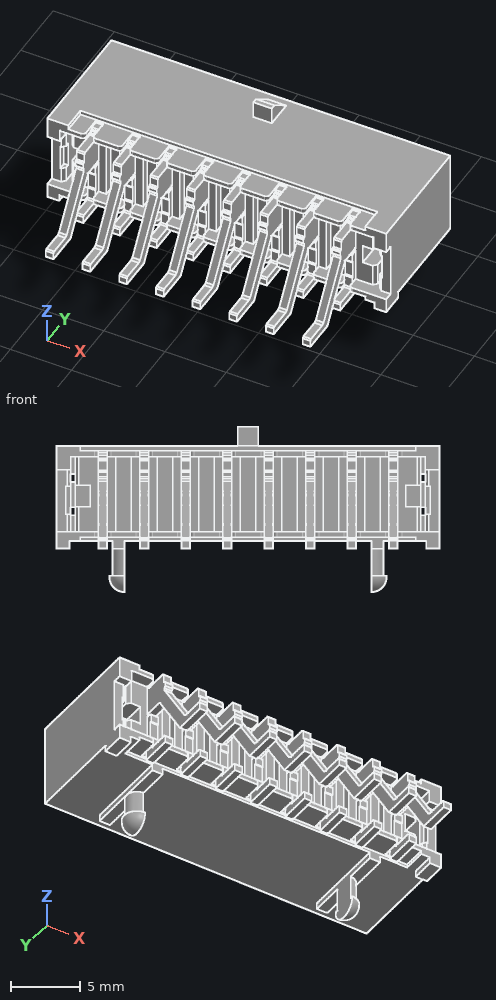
import cadquery as cq


HOUSING_LENGTH = 27.7
HOUSING_DEPTH = 9.92
HOUSING_BOTTOM = 0.53
HOUSING_TOP = 7.42
HALF_LENGTH = HOUSING_LENGTH / 2

POCKET_HALF_LENGTH = 12.83
POCKET_BOTTOM = 1.22
POCKET_TOP = 6.65
POCKET_DEPTH = 1.0
SHELF_HALF_LENGTH = 12.13
SHELF_DEPTH = 1.88
SHELF_THICKNESS = 0.42
SHELF_CORNER_RADIUS = 0.28

CONTACT_COUNT = 8
CONTACT_SPAN = 21.0
PITCH = CONTACT_SPAN / (CONTACT_COUNT - 1)
CONTACT_WIDTH = 0.65
CONTACT_ROOT = 2.22
LEAD_THICKNESS = 0.66
TIP_BEVEL = 0.1
UPPER_UNDERSIDE = 4.13
SHOULDER_TOP = 6.92
HEAD_TOP = 6.45
HEAD_FACE = -1.2
NOSE_FACE = -1.38
UPPER_TAIL_END = -5.98
LOWER_UNDERSIDE = 3.13
LOWER_TOP = 3.9
UPRIGHT_FACE = 0.5
RECESS_FACE = 0.58
LOWER_TAIL_END = -1.38
FIRST_CONTACT = -CONTACT_SPAN / 2
CONTACT_POSITIONS = [FIRST_CONTACT + PITCH * i for i in range(CONTACT_COUNT)]
GROOVE_WIDTH = 1.1
GROOVE_FLOOR = 1.7
SHELF_SLOT_END = 1.75

SIDE_NOTCH_DEPTH = 0.7
SIDE_NOTCH_TOP = 5.68
SLOT_INNER = 12.5
SLOT_FLOOR = 3.88
LEAD_IN_OUTER = 13.07
LEAD_IN_INNER = 12.22
LEAD_IN_DEPTH = 0.28
RELIEF_OUTER = 13.15
RELIEF_BOTTOM = 2.47
RELIEF_TOP = 4.5
BARB_INNER = 11.4
BARB_BOTTOM = 3.02
BARB_TOP = 4.57
BARB_FLOOR = 2.77
WINDOW_HEIGHT = 0.55
WINDOW_BOTTOMS = (2.4, 4.82)

FOOT_LENGTH = 0.97
PEG_FLAT = 8.92
PEG_RADIUS = 0.9
PEG_CENTER_Y = 5.32
PEG_HEAD_RADIUS = 1.1
PEG_BOTTOM = -3.15
PEG_HEAD_TOP = -1.97
RIB_FRONT = 8.9
RAMP_CENTER_X = 0.0
RAMP_WIDTH = 1.5
RAMP_TOP = 8.8
RAMP_REAR = 7.1
RAMP_CREST = 7.5
RAMP_TOE = 9.33


def block(x, y, z):
    """Box between the low and high limits given for each axis."""
    size = (x[1] - x[0], y[1] - y[0], z[1] - z[0])
    return cq.Workplane("XY").box(*size, centered=False).translate((x[0], y[0], z[0]))


def plate(points, center_x, width):
    """Outline of (Y, Z) points extruded along X about center_x."""
    outline = cq.Workplane("YZ").polyline(points).close()
    return outline.extrude(width / 2, both=True).translate((center_x, 0, 0))


def prism(points, bottom, top):
    """Outline of (X, Y) points extruded from bottom to top."""
    return cq.Workplane("XY").workplane(offset=bottom).polyline(points).close().extrude(top - bottom)


def both_ends(shape):
    """Shape together with its mirror image at the other end of the housing."""
    return shape.union(shape.mirror("YZ"))


def housing_body():
    body = block((-HALF_LENGTH, HALF_LENGTH), (0, HOUSING_DEPTH), (HOUSING_BOTTOM, HOUSING_TOP))
    pocket_x = (-POCKET_HALF_LENGTH, POCKET_HALF_LENGTH)
    body = body.cut(block(pocket_x, (0, POCKET_DEPTH), (POCKET_BOTTOM, POCKET_TOP)))
    shelf_x = (-SHELF_HALF_LENGTH, SHELF_HALF_LENGTH)
    upper_step = (POCKET_TOP + SHELF_THICKNESS, HOUSING_TOP)
    lower_step = (HOUSING_BOTTOM, POCKET_BOTTOM - SHELF_THICKNESS)
    for step in (upper_step, lower_step):
        body = body.cut(block(shelf_x, (0, SHELF_DEPTH), step))
    return body


def shelf_slot(center_x, bottom, top):
    """Slot through a shelf, flaring with rounded corners at the rear face."""
    half = CONTACT_WIDTH / 2
    radius = SHELF_CORNER_RADIUS
    diagonal = radius / 2**0.5
    flare = half + radius
    outline = (
        cq.Workplane("XY")
        .workplane(offset=bottom)
        .moveTo(-flare, 0)
        .threePointArc((-flare + diagonal, radius - diagonal), (-half, radius))
        .lineTo(-half, SHELF_SLOT_END)
        .lineTo(half, SHELF_SLOT_END)
        .lineTo(half, radius)
        .threePointArc((flare - diagonal, radius - diagonal), (flare, 0))
        .close()
    )
    return outline.extrude(top - bottom).translate((center_x, 0, 0))


def retention_slot():
    """Slot, lead-in, relief, barb pocket and windows at the +X end."""
    height = (POCKET_BOTTOM, POCKET_TOP)
    slot_x = (SLOT_INNER, POCKET_HALF_LENGTH)
    cutter = block(slot_x, (0, SLOT_FLOOR), height)
    notch_x = (POCKET_HALF_LENGTH, HALF_LENGTH)
    cutter = cutter.union(block(notch_x, (0, SIDE_NOTCH_DEPTH), (POCKET_BOTTOM, SIDE_NOTCH_TOP)))
    outer_lead_in = [
        (POCKET_HALF_LENGTH, SIDE_NOTCH_DEPTH),
        (LEAD_IN_OUTER, SIDE_NOTCH_DEPTH),
        (POCKET_HALF_LENGTH, SIDE_NOTCH_DEPTH + LEAD_IN_DEPTH),
    ]
    inner_lead_in = [
        (LEAD_IN_INNER, POCKET_DEPTH),
        (SLOT_INNER, POCKET_DEPTH),
        (SLOT_INNER, POCKET_DEPTH + LEAD_IN_DEPTH),
    ]
    cutter = cutter.union(prism(outer_lead_in, POCKET_BOTTOM, SIDE_NOTCH_TOP))
    cutter = cutter.union(prism(inner_lead_in, *height))
    relief_y = (SIDE_NOTCH_DEPTH, POCKET_DEPTH + LEAD_IN_DEPTH)
    cutter = cutter.union(block((SLOT_INNER, RELIEF_OUTER), relief_y, (RELIEF_BOTTOM, RELIEF_TOP)))
    barb_y = (POCKET_DEPTH, BARB_FLOOR)
    cutter = cutter.union(block((BARB_INNER, SLOT_INNER), barb_y, (BARB_BOTTOM, BARB_TOP)))
    for bottom in WINDOW_BOTTOMS:
        window_z = (bottom, bottom + WINDOW_HEIGHT)
        cutter = cutter.union(block(slot_x, (0, HOUSING_DEPTH), window_z))
    return cutter


def foot_and_peg():
    """Corner foot, board rib and half-round peg with a rounded head at the +X end."""
    foot_x = (HALF_LENGTH - FOOT_LENGTH, HALF_LENGTH)
    foot = block(foot_x, (0, SHELF_DEPTH), (0, HOUSING_BOTTOM))
    rib_x = (PEG_FLAT, PEG_FLAT + PEG_RADIUS)
    rib = block(rib_x, (SHELF_DEPTH, RIB_FRONT), (0, HOUSING_BOTTOM))
    shank = cq.Workplane("XY").circle(PEG_RADIUS).extrude(PEG_HEAD_TOP)
    head = cq.Workplane("XY").sphere(PEG_HEAD_RADIUS).translate((0, 0, PEG_BOTTOM + PEG_HEAD_RADIUS))
    span = (-PEG_HEAD_RADIUS, PEG_HEAD_RADIUS)
    head = head.intersect(block(span, span, (PEG_BOTTOM, PEG_HEAD_TOP)))
    round_side = block((0, PEG_HEAD_RADIUS), span, (PEG_BOTTOM, 0))
    peg = shank.union(head).intersect(round_side).translate((PEG_FLAT, PEG_CENTER_Y, 0))
    return foot.union(rib).union(peg)


def latch_ramp():
    points = [
        (RAMP_REAR, HOUSING_TOP),
        (RAMP_REAR, RAMP_TOP),
        (RAMP_CREST, RAMP_TOP),
        (RAMP_TOE, HOUSING_TOP),
    ]
    return plate(points, RAMP_CENTER_X, RAMP_WIDTH)


def upper_contact(center_x):
    """Contact whose lead slopes down to a long solder tail."""
    points = [
        (CONTACT_ROOT, UPPER_UNDERSIDE),
        (CONTACT_ROOT, SHOULDER_TOP),
        (1.14, SHOULDER_TOP),
        (1.14, 6.73),
        (0.97, 6.73),
        (0.97, 6.55),
        (0.8, 6.55),
        (0.8, HEAD_TOP),
        (HEAD_FACE + TIP_BEVEL, HEAD_TOP),
        (HEAD_FACE, HEAD_TOP - TIP_BEVEL),
        (HEAD_FACE, 5.65),
        (-1.33, 5.6),
        (NOSE_FACE, 5.5),
        (NOSE_FACE, 5.18),
        (-1.33, 5.1),
        (-1.27, 5.05),
        (-1.27, 4.85),
        (-3.93, 0.78),
        (-4.15, LEAD_THICKNESS),
        (UPPER_TAIL_END + TIP_BEVEL, LEAD_THICKNESS),
        (UPPER_TAIL_END, LEAD_THICKNESS - TIP_BEVEL),
        (UPPER_TAIL_END, 0),
        (-3.32, 0),
        (-0.65, UPPER_UNDERSIDE),
    ]
    return plate(points, center_x, CONTACT_WIDTH)


def lower_contact(center_x):
    """Contact that drops straight down to a short solder tail."""
    points = [
        (CONTACT_ROOT, LOWER_UNDERSIDE),
        (CONTACT_ROOT, LOWER_TOP),
        (UPRIGHT_FACE + TIP_BEVEL, LOWER_TOP),
        (UPRIGHT_FACE, LOWER_TOP - TIP_BEVEL),
        (UPRIGHT_FACE, LOWER_UNDERSIDE),
        (RECESS_FACE, LOWER_UNDERSIDE),
        (RECESS_FACE, 1.77),
        (UPRIGHT_FACE, 1.7),
        (UPRIGHT_FACE, LEAD_THICKNESS + TIP_BEVEL),
        (UPRIGHT_FACE - TIP_BEVEL, LEAD_THICKNESS),
        (LOWER_TAIL_END + TIP_BEVEL, LEAD_THICKNESS),
        (LOWER_TAIL_END, LEAD_THICKNESS - TIP_BEVEL),
        (LOWER_TAIL_END, 0),
        (UPRIGHT_FACE + LEAD_THICKNESS, 0),
        (UPRIGHT_FACE + LEAD_THICKNESS, LOWER_UNDERSIDE),
    ]
    return plate(points, center_x, CONTACT_WIDTH)


result = housing_body().cut(both_ends(retention_slot()))

for left in CONTACT_POSITIONS[:-1]:
    middle = left + PITCH / 2
    groove_x = (middle - GROOVE_WIDTH / 2, middle + GROOVE_WIDTH / 2)
    result = result.cut(block(groove_x, (POCKET_DEPTH, GROOVE_FLOOR), (POCKET_BOTTOM, POCKET_TOP)))

for x in CONTACT_POSITIONS:
    result = result.cut(shelf_slot(x, POCKET_TOP, POCKET_TOP + SHELF_THICKNESS))
    result = result.cut(shelf_slot(x, POCKET_BOTTOM - SHELF_THICKNESS, POCKET_BOTTOM))

result = result.union(latch_ramp()).union(both_ends(foot_and_peg()))

for x in CONTACT_POSITIONS:
    result = result.union(upper_contact(x)).union(lower_contact(x))